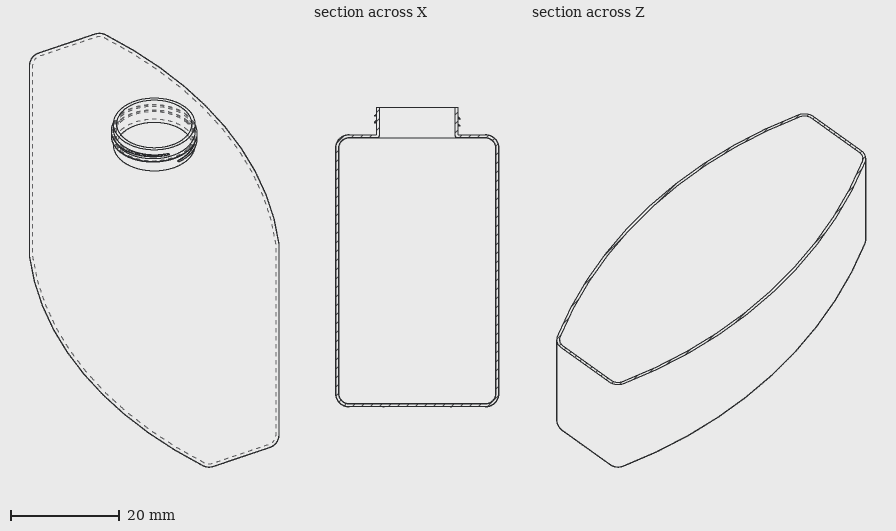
import cadquery as cq
import math

width = 70.0
thickness = 30.0
body_height = 50.0

end_half_depth = thickness / 4
edge_radius = thickness / 12
wall = thickness / 50
neck_radius = thickness / 4
neck_height = body_height / 10

thread_seat_gap = 0.002
thread_root_radius = neck_radius + thread_seat_gap
thread_crest_radius = 1.05 * neck_radius
thread_mid_height = body_height + neck_height / 2
thread_pitch = neck_height / 4
thread_length = 4 * math.pi
thread_slope_length = math.hypot(2 * math.pi, thread_pitch)
thread_half_angle = thread_length / 2 * 2 * math.pi / thread_slope_length
root_thread_width = neck_height / 10
crest_thread_width = root_thread_width / 4
points_per_edge = 49


def make_bottle():
    """Hollow flask with bowed front and back, rounded edges and an open neck."""
    outline = (
        cq.Workplane("XY")
        .moveTo(-width / 2, -end_half_depth)
        .threePointArc((0, -thickness / 2), (width / 2, -end_half_depth))
        .lineTo(width / 2, end_half_depth)
        .threePointArc((0, thickness / 2), (-width / 2, end_half_depth))
        .close()
    )
    body = outline.extrude(body_height).edges().fillet(edge_radius)
    neck = (
        cq.Workplane("XY", origin=(0, 0, body_height))
        .circle(neck_radius)
        .extrude(neck_height)
    )
    return body.union(neck).faces(">Z").shell(-wall)


def thread_edge(radius, bulge):
    """Edge of the crescent wrapped at a radius; a bulge of 0 gives the straight helix."""
    points = []
    for i in range(points_per_edge):
        t = math.pi * i / (points_per_edge - 1)
        angle = -thread_half_angle * math.cos(t)
        climb = thread_pitch * angle / (2 * math.pi)
        height = thread_mid_height + climb + bulge * math.sin(t)
        points.append(cq.Vector(radius * math.cos(angle), radius * math.sin(angle), height))
    return cq.Edge.makeSpline(points)


def make_thread():
    """Thread ridge that sits on the neck and narrows towards its crest and its two ends."""
    root_low = thread_edge(thread_root_radius, 0)
    root_high = thread_edge(thread_root_radius, root_thread_width)
    crest_low = thread_edge(thread_crest_radius, 0)
    crest_high = thread_edge(thread_crest_radius, crest_thread_width)
    loop = [root_low, root_high, crest_high, crest_low]
    next_edges = loop[1:] + loop[:1]
    faces = [cq.Face.makeRuledSurface(edge, following) for edge, following in zip(loop, next_edges)]
    return cq.Solid.makeSolid(cq.Shell.makeShell(faces))


bottle = make_bottle()
thread = make_thread()

result = cq.Compound.makeCompound([bottle.val(), thread])